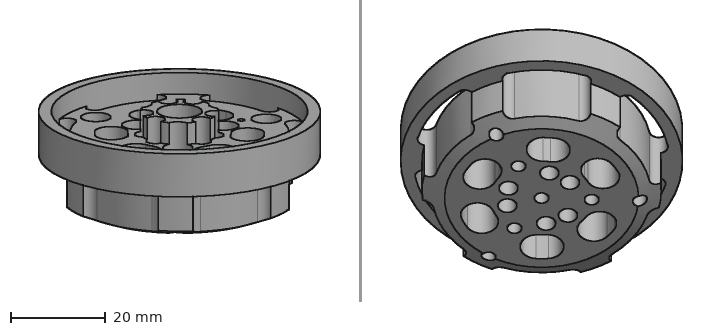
import cadquery as cq
import math

rim_diameter = 59.4
rim_bore_diameter = 54.0
rim_height = 9.5
total_height = 20.5
floor_depth = 4.75
base_height = total_height - rim_height
floor_z = total_height - floor_depth
base_radius = 25.2
bottom_radius = 20.45
bottom_taper_height = 1.95

boss_radius = 8.25
center_bore_diameter = 9.5
center_bore_bottom_z = 5.35
cone_half_angle = 59
screw_diameter = 3.0

spoke_angles = [90, 210, 330]
half_spoke_pitch = 180 / len(spoke_angles)
inner_screw_radius = 10.6
outer_screw_radius = 20.75
counterbore_diameter = 6.35
counterbore_bottom_z = 5.35

boss_hole_diameter = 4.0
boss_hole_radius = 7.55
boss_hole_half_spread = 20

window_width = 7.0
window_radius = 14.4
window_offset_angle = 33
window_half_span = 4.3

slot_count = 6
slot_width = 4.0
slot_wall_overlap = 0.05
slot_radius = (rim_bore_diameter - slot_width) / 2 + slot_wall_overlap
slot_half_span = 17.1

pin_diameter = 1.5
pin_position = (-1.7, 15.7)
pin_depth = 2.95


def polar(radius, angle):
    """XY point at a radius and an angle in degrees."""
    turn = math.radians(angle)
    return (radius * math.cos(turn), radius * math.sin(turn))


def cylinder(points, diameter, bottom_z, top_z):
    """Upright cylinders at the given XY points."""
    plane = cq.Workplane("XY").workplane(offset=bottom_z)
    return plane.pushPoints(points).circle(diameter / 2).extrude(top_z - bottom_z)


def curved_slot(radius, width, middle_angle, half_span):
    """Cutter up to the floor with round ends, following an arc about the Z axis."""
    start = middle_angle - half_span
    end = middle_angle + half_span
    inner = radius - width / 2
    outer = radius + width / 2
    start_center = polar(radius, start)
    end_center = polar(radius, end)
    start_step = polar(width / 2, start - 90)
    end_step = polar(width / 2, end + 90)
    start_tip = (start_center[0] + start_step[0], start_center[1] + start_step[1])
    end_tip = (end_center[0] + end_step[0], end_center[1] + end_step[1])
    return (
        cq.Workplane("XY")
        .moveTo(*polar(outer, start))
        .threePointArc(polar(outer, middle_angle), polar(outer, end))
        .threePointArc(end_tip, polar(inner, end))
        .threePointArc(polar(inner, middle_angle), polar(inner, start))
        .threePointArc(start_tip, polar(outer, start))
        .close()
        .extrude(floor_z)
    )


def cup():
    """Solid of revolution: tapered base, wide rim and recessed floor."""
    rim_radius = rim_diameter / 2
    bore_radius = rim_bore_diameter / 2
    profile = [
        (0, 0),
        (bottom_radius, 0),
        (base_radius, bottom_taper_height),
        (base_radius, base_height),
        (rim_radius, base_height),
        (rim_radius, total_height),
        (bore_radius, total_height),
        (bore_radius, floor_z),
        (0, floor_z),
    ]
    return cq.Workplane("XZ").polyline(profile).close().revolve(360, (0, 0), (0, 1))


def center_bore():
    """Wide bore ending in a drill-point cone, with a screw hole through the bottom."""
    bore_radius = center_bore_diameter / 2
    cone_height = bore_radius / math.tan(math.radians(cone_half_angle))
    profile = [
        (0, center_bore_bottom_z - cone_height),
        (bore_radius, center_bore_bottom_z),
        (bore_radius, total_height),
        (0, total_height),
    ]
    bore = cq.Workplane("XZ").polyline(profile).close().revolve(360, (0, 0), (0, 1))
    return bore.union(cylinder([(0, 0)], screw_diameter, 0, total_height))


result = cup().union(cylinder([(0, 0)], 2 * boss_radius, 0, total_height))

rim_bore = cylinder([(0, 0)], rim_bore_diameter, 0, total_height)
for index in range(slot_count):
    slot_angle = index * 360 / slot_count
    slot = curved_slot(slot_radius, slot_width, slot_angle, slot_half_span)
    result = result.cut(slot.intersect(rim_bore))

for spoke in spoke_angles:
    for side in (-1, 1):
        window_angle = spoke + side * window_offset_angle
        result = result.cut(curved_slot(window_radius, window_width, window_angle, window_half_span))

screw_points = [polar(r, a) for r in (inner_screw_radius, outer_screw_radius) for a in spoke_angles]
result = result.cut(cylinder(screw_points, screw_diameter, 0, total_height))
result = result.cut(cylinder(screw_points, counterbore_diameter, counterbore_bottom_z, total_height))
result = result.cut(center_bore())

boss_hole_points = [
    polar(boss_hole_radius, spoke + half_spoke_pitch + side * boss_hole_half_spread)
    for spoke in spoke_angles
    for side in (-1, 1)
]
result = result.cut(cylinder(boss_hole_points, boss_hole_diameter, 0, total_height))

result = result.cut(cylinder([pin_position], pin_diameter, floor_z - pin_depth, floor_z))